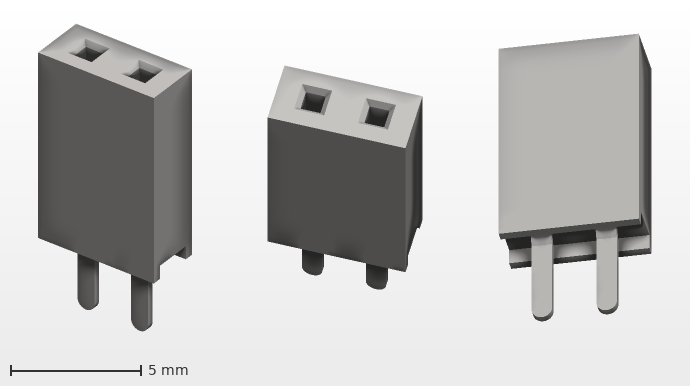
import cadquery as cq

body_width = 5.49
body_depth = 2.5
total_height = 11.8
pin_reach = 3.3
body_height = total_height - pin_reach

foot_thickness = 0.4
channel_height = 0.6

contact_pitch = 2.54
contact_count = 2

socket_size = 0.79
lead_in = 0.2
socket_depth = 5.0

pin_width = 0.8
pin_thickness = 0.3
pin_offset = 0.3

foot_z = pin_reach
roof_z = foot_z + channel_height
top_z = total_height

contact_positions = [
    (i - (contact_count - 1) / 2) * contact_pitch for i in range(contact_count)
]


def make_housing():
    block = cq.Workplane("XY").workplane(offset=foot_z).rect(body_width, body_depth).extrude(body_height)
    channel_width = body_depth - 2 * foot_thickness
    channel = cq.Workplane("XY").workplane(offset=foot_z).rect(body_width, channel_width).extrude(channel_height)
    return block.cut(channel)


def make_socket(x):
    """Space of one socket: a blind square hole below a tapered mouth."""
    mouth_size = socket_size + 2 * lead_in
    hole = (
        cq.Workplane("XY", origin=(x, 0, top_z))
        .rect(socket_size, socket_size)
        .extrude(-socket_depth)
    )
    mouth = (
        cq.Workplane("XY", origin=(x, 0, top_z))
        .rect(mouth_size, mouth_size)
        .workplane(offset=-lead_in)
        .rect(socket_size, socket_size)
        .loft(ruled=True)
    )
    return hole.union(mouth)


def make_pin(x):
    """One pin: its bent side profile, trimmed to a strip with a round lower end."""
    half_thickness = pin_thickness / 2
    half_width = pin_width / 2
    side_profile = (
        cq.Workplane("YZ", origin=(x, 0, 0))
        .polyline([
            (-half_thickness, 0),
            (half_thickness, 0),
            (half_thickness, foot_z),
            (half_thickness + pin_offset, roof_z),
            (-half_thickness + pin_offset, roof_z),
            (-half_thickness, foot_z),
        ])
        .close()
        .extrude(half_width, both=True)
    )
    face_outline = (
        cq.Workplane("XZ", origin=(x, 0, 0))
        .moveTo(-half_width, roof_z)
        .lineTo(-half_width, half_width)
        .threePointArc((0, 0), (half_width, half_width))
        .lineTo(half_width, roof_z)
        .close()
        .extrude(body_depth / 2, both=True)
    )
    return side_profile.intersect(face_outline)


result = make_housing()
for contact_x in contact_positions:
    result = result.cut(make_socket(contact_x))
    result = result.union(make_pin(contact_x))